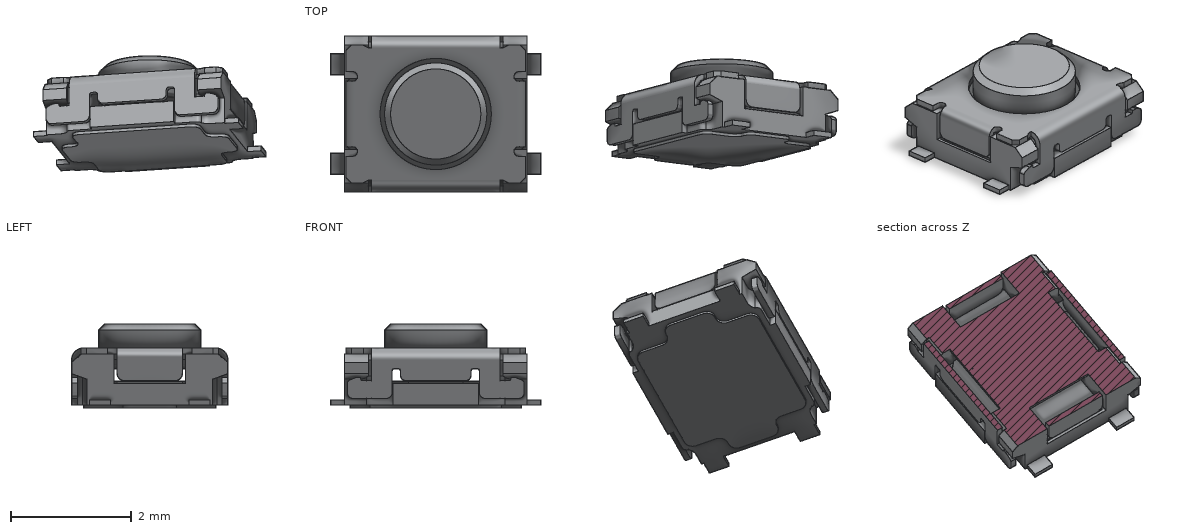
import cadquery as cq


BASE_BOTTOM = 0.05
FLOOR_TOP = 0.41
BASE_TOP = 0.9
SHEET = 0.1
COVER_TOP = BASE_TOP + SHEET
FLAP_BOTTOM = 0.455
BUTTON_TOP = 1.4

BASE_HALF_X = 1.52
BODY_HALF_Y = 1.3
CORE_HALF_Y = BODY_HALF_Y - SHEET
CORE_CHAMFER = 0.1
CORNER_HALF_Y = 1.046
CORNER_CURVE_START_X = 1.31
CORNER_CURVE_MID_X = 1.15
CORNER_CURVE_MID_Y = 1.12
CORNER_CONCAVE_RADIUS = 0.2
CORNER_CURVE_END_X = 1.07
CORNER_CONVEX_RADIUS = CORNER_CURVE_MID_X - CORNER_CURVE_END_X
CORNER_TOP = 0.53
WING_INNER_X = 1.12
WING_UNDERSIDE_INNER_Z = 0.48
WING_UNDERSIDE_OUTER_Z = 0.572
WING_SIDE_TOP_Z = 0.76
STEP_HALF_X = 0.712
CHANNEL_HALF_X = 0.725
CHANNEL_HALF_Y = 0.593

CONTACT_HEIGHT = 0.04
CONTACT_FLAT_X = 0.45
CONTACT_FLAT_Y = 0.545
CONTACT_END_X = 1.47

COVER_HALF_X = 1.495
PLATE_HALF_Y = 1.145
PLATE_CHAMFER = 0.09
BUTTON_HOLE_DIAMETER = 1.85
LONG_BEND_RADIUS = 0.2
LONG_BAND_HALF_X = 1.07
LONG_RELIEF_HALF_X = 1.205
LONG_RELIEF_ARC_X = 1.17
LONG_RELIEF_ARC_Y = 1.125
SHORT_BEND_RADIUS = 0.15
SHORT_BAND_HALF_Y = 0.545
SHORT_FLAP_FILLET = 0.12
SLOT_OUTER_Y = 0.704
SLOT_END_X = 1.303

LEG_BOTTOM = 0.16
LEG_OUTER_X = 1.47
LEG_TOE_FILLET = 0.093
LEG_SHOULDER_X = 1.425
LEG_SHOULDER_Z = 0.47
LEG_SHOULDER_RADIUS = 0.08
LEG_SIDE_TOP = 0.42
LEG_HEEL_FILLET = 0.1
HOOK_INNER_X = 1.235
HOOK_RISE_X = 1.255
HOOK_CREST_X = 1.335
HOOK_TOP = 0.505
TAB_HALF_X = 0.5875
TAB_FILLET = 0.09
WINDOW_TOP = 0.655
WINDOW_FILLET = 0.045

BUTTON_DIAMETER = 1.7
BUTTON_CHAMFER = 0.1
PLUNGER_DIAMETER = 1.85
PLUNGER_FILLET = 0.08
PLUNGER_BOTTOM = 0.65
FLANGE_HALF_WIDTH = 1.0
FLANGE_BOTTOM = 0.81

TERMINAL_END_X = 1.75
TERMINAL_INNER_Y = 0.65
TERMINAL_OUTER_Y = 1.005
TERMINAL_THICKNESS = 0.085

PAD_END_X = 1.425
PAD_SHOULDER_X = 1.09
PAD_HALF_Y = 1.1
PAD_LOBE_HALF_Y = 0.296
PAD_RADIUS = 0.15


def block(x0, x1, y0, y1, z0, z1):
    """Box between the given limits on each axis."""
    return cq.Workplane("XY").box(x1 - x0, y1 - y0, z1 - z0, centered=False).translate((x0, y0, z0))


def disc(diameter, z0, z1):
    """Cylinder on the button axis."""
    return cq.Workplane("XY").workplane(offset=z0).circle(diameter / 2).extrude(z1 - z0)


def four_corners(shape):
    """The shape at +X +Y together with its mirror copies in the other three corners."""
    pair = shape.union(shape.mirror("YZ"))
    return pair.union(pair.mirror("XZ"))


def make_core():
    """Upper middle of the base, with long top edges bevelled to clear the cover bends."""
    core = block(-WING_INNER_X, WING_INNER_X, -CORE_HALF_Y, CORE_HALF_Y, CORNER_TOP, BASE_TOP)
    return core.faces(">Z").edges("|X").chamfer(CORE_CHAMFER)


def make_base_ends():
    """Narrow ends of the base below the wings, blended into the core by S-shaped curves."""
    corner = (
        cq.Workplane("XY")
        .workplane(offset=BASE_BOTTOM)
        .lineTo(BASE_HALF_X, 0)
        .lineTo(BASE_HALF_X, CORNER_HALF_Y)
        .lineTo(CORNER_CURVE_START_X, CORNER_HALF_Y)
        .radiusArc((CORNER_CURVE_MID_X, CORNER_CURVE_MID_Y), CORNER_CONCAVE_RADIUS)
        .radiusArc((CORNER_CURVE_END_X, CORE_HALF_Y), -CORNER_CONVEX_RADIUS)
        .lineTo(0, CORE_HALF_Y)
        .close()
        .extrude(CORNER_TOP - BASE_BOTTOM)
    )
    return four_corners(corner)


def make_wings():
    """Upper ends of the base, reaching full depth with bevelled tops and sloping undersides."""
    wing = (
        cq.Workplane("YZ")
        .workplane(offset=WING_INNER_X)
        .moveTo(0, WING_UNDERSIDE_INNER_Z)
        .lineTo(CORNER_HALF_Y, WING_UNDERSIDE_INNER_Z)
        .lineTo(BODY_HALF_Y, WING_UNDERSIDE_OUTER_Z)
        .lineTo(BODY_HALF_Y, WING_SIDE_TOP_Z)
        .lineTo(PLATE_HALF_Y, BASE_TOP)
        .lineTo(0, BASE_TOP)
        .close()
        .extrude(BASE_HALF_X - WING_INNER_X)
    )
    return four_corners(wing)


def make_base():
    """Moulded base with a cross-shaped cavity open on all four sides."""
    base = make_core().union(make_base_ends()).union(make_wings())
    for half_x, half_y in ((CHANNEL_HALF_X, BODY_HALF_Y), (BASE_HALF_X, CHANNEL_HALF_Y)):
        base = base.cut(block(-half_x, half_x, -half_y, half_y, FLOOR_TOP, BASE_TOP))
    step = block(-STEP_HALF_X, STEP_HALF_X, -BODY_HALF_Y, BODY_HALF_Y, BASE_BOTTOM, FLOOR_TOP)
    return base.union(step)


def make_contact():
    """Cross-shaped contact plate on the cavity floor, with chamfered ends."""
    top = FLOOR_TOP + CONTACT_HEIGHT
    arm_x = block(-CONTACT_END_X, CONTACT_END_X, -CHANNEL_HALF_Y, CHANNEL_HALF_Y, FLOOR_TOP, top)
    arm_x = arm_x.edges("|Z").chamfer(CHANNEL_HALF_Y - CONTACT_FLAT_Y)
    arm_y = block(-CHANNEL_HALF_X, CHANNEL_HALF_X, -CORE_HALF_Y, CORE_HALF_Y, FLOOR_TOP, top)
    arm_y = arm_y.edges("|Z").chamfer(CHANNEL_HALF_X - CONTACT_FLAT_X)
    return arm_x.union(arm_y)


def make_cover_plate():
    """Flat top of the cover with its corner reliefs and bend slots."""
    plate = block(-COVER_HALF_X, COVER_HALF_X, -PLATE_HALF_Y, PLATE_HALF_Y, BASE_TOP, COVER_TOP)
    plate = plate.edges("|Z").chamfer(PLATE_CHAMFER)

    bend_start_y = BODY_HALF_Y - LONG_BEND_RADIUS
    long_relief = (
        cq.Workplane("XY")
        .workplane(offset=BASE_TOP)
        .moveTo(0, bend_start_y)
        .lineTo(LONG_BAND_HALF_X, bend_start_y)
        .tangentArcPoint((LONG_RELIEF_ARC_X, LONG_RELIEF_ARC_Y), relative=False)
        .lineTo(LONG_RELIEF_HALF_X, PLATE_HALF_Y)
        .lineTo(0, PLATE_HALF_Y)
        .close()
        .extrude(SHEET)
    )

    bend_start_x = COVER_HALF_X - SHORT_BEND_RADIUS
    short_relief = block(
        bend_start_x, COVER_HALF_X, -SHORT_BAND_HALF_Y, SHORT_BAND_HALF_Y, BASE_TOP, COVER_TOP
    )

    slot_radius = (SLOT_OUTER_Y - SHORT_BAND_HALF_Y) / 2
    slot = (
        cq.Workplane("XY")
        .workplane(offset=BASE_TOP)
        .moveTo(BASE_HALF_X, SHORT_BAND_HALF_Y)
        .lineTo(SLOT_END_X + slot_radius, SHORT_BAND_HALF_Y)
        .threePointArc(
            (SLOT_END_X, SHORT_BAND_HALF_Y + slot_radius),
            (SLOT_END_X + slot_radius, SLOT_OUTER_Y),
        )
        .lineTo(BASE_HALF_X, SLOT_OUTER_Y)
        .close()
        .extrude(SHEET)
    )

    for cutter in (long_relief, short_relief, slot):
        plate = plate.cut(four_corners(cutter))
    return plate


def make_channel(plane, half_span, half_length, bottom, bend_radius):
    """Sheet channel, open downwards, with rounded bends along its two top edges."""
    height = COVER_TOP - bottom
    mid_height = bottom + height / 2
    outer = (
        cq.Workplane(plane)
        .center(0, mid_height)
        .rect(2 * half_span, height)
        .extrude(half_length, both=True)
        .faces(">Z")
        .edges("|X" if plane == "YZ" else "|Y")
        .fillet(bend_radius)
    )
    inner = (
        cq.Workplane(plane)
        .center(0, mid_height - SHEET)
        .rect(2 * (half_span - SHEET), height)
        .extrude(half_length, both=True)
        .faces(">Z")
        .edges("|X" if plane == "YZ" else "|Y")
        .fillet(bend_radius - SHEET)
    )
    return outer.cut(inner)


def make_long_wall_outline():
    """Prism along Y whose section is the outline of the long cover walls."""
    half = (
        cq.Workplane("XZ")
        .moveTo(0, COVER_TOP)
        .lineTo(LONG_BAND_HALF_X, COVER_TOP)
        .lineTo(LONG_BAND_HALF_X, FLAP_BOTTOM)
        .lineTo(HOOK_INNER_X, FLAP_BOTTOM)
        .lineTo(HOOK_RISE_X, HOOK_TOP)
        .lineTo(HOOK_CREST_X, HOOK_TOP)
        .lineTo(LEG_SHOULDER_X, LEG_SHOULDER_Z)
        .radiusArc((LEG_OUTER_X, LEG_SIDE_TOP), LEG_SHOULDER_RADIUS)
        .lineTo(LEG_OUTER_X, LEG_BOTTOM + LEG_TOE_FILLET)
        .radiusArc((LEG_OUTER_X - LEG_TOE_FILLET, LEG_BOTTOM), LEG_TOE_FILLET)
        .lineTo(CHANNEL_HALF_X + LEG_HEEL_FILLET, LEG_BOTTOM)
        .radiusArc((CHANNEL_HALF_X, LEG_BOTTOM + LEG_HEEL_FILLET), LEG_HEEL_FILLET)
        .lineTo(CHANNEL_HALF_X, WINDOW_TOP - WINDOW_FILLET)
        .radiusArc((CHANNEL_HALF_X - WINDOW_FILLET, WINDOW_TOP), -WINDOW_FILLET)
        .lineTo(TAB_HALF_X + WINDOW_FILLET, WINDOW_TOP)
        .radiusArc((TAB_HALF_X, WINDOW_TOP - WINDOW_FILLET), -WINDOW_FILLET)
        .lineTo(TAB_HALF_X, FLAP_BOTTOM + TAB_FILLET)
        .radiusArc((TAB_HALF_X - TAB_FILLET, FLAP_BOTTOM), TAB_FILLET)
        .lineTo(0, FLAP_BOTTOM)
        .close()
        .extrude(BODY_HALF_Y, both=True)
    )
    return half.union(half.mirror("YZ"))


def make_cover():
    """Cover with two legged walls along X and two plain flaps at the ends."""
    long_walls = make_channel("YZ", BODY_HALF_Y, LEG_OUTER_X, LEG_BOTTOM, LONG_BEND_RADIUS)
    long_walls = long_walls.intersect(make_long_wall_outline())
    flaps = make_channel("XZ", COVER_HALF_X, SHORT_BAND_HALF_Y, FLAP_BOTTOM, SHORT_BEND_RADIUS)
    flap_outline = block(
        -COVER_HALF_X, COVER_HALF_X, -SHORT_BAND_HALF_Y, SHORT_BAND_HALF_Y, FLAP_BOTTOM, COVER_TOP
    )
    flaps = flaps.intersect(flap_outline.faces("<Z").edges("|X").fillet(SHORT_FLAP_FILLET))
    cover = make_cover_plate().union(long_walls).union(flaps)
    return cover.cut(disc(BUTTON_HOLE_DIAMETER, BASE_TOP, COVER_TOP))


def make_button():
    """Round chamfered button with a plunger below and a square flange held in the base."""
    button = disc(BUTTON_DIAMETER, FLANGE_BOTTOM, BUTTON_TOP).faces(">Z").chamfer(BUTTON_CHAMFER)
    plunger = disc(PLUNGER_DIAMETER, PLUNGER_BOTTOM, FLANGE_BOTTOM).faces("<Z").edges().fillet(PLUNGER_FILLET)
    flange = block(
        -FLANGE_HALF_WIDTH, FLANGE_HALF_WIDTH, -FLANGE_HALF_WIDTH, FLANGE_HALF_WIDTH, FLANGE_BOTTOM, BASE_TOP
    )
    return button.union(plunger).union(flange)


def make_terminals():
    """Flat solder terminals at the four corners."""
    terminal = block(
        WING_INNER_X, TERMINAL_END_X, TERMINAL_INNER_Y, TERMINAL_OUTER_Y,
        BASE_BOTTOM, BASE_BOTTOM + TERMINAL_THICKNESS,
    )
    return four_corners(terminal)


def make_pad():
    """Shallow pad under the base with a rounded lobe at each end."""
    shoulder_half_y = PAD_LOBE_HALF_Y + PAD_RADIUS
    body = block(-PAD_SHOULDER_X, PAD_SHOULDER_X, -PAD_HALF_Y, PAD_HALF_Y, 0, BASE_BOTTOM)
    lobes = block(-PAD_END_X, PAD_END_X, -shoulder_half_y, shoulder_half_y, 0, BASE_BOTTOM)
    pad = body.edges("|Z").fillet(PAD_RADIUS).union(lobes.edges("|Z").fillet(PAD_RADIUS))
    for sign_x in (-1, 1):
        for sign_y in (-1, 1):
            root = (sign_x * PAD_SHOULDER_X, sign_y * shoulder_half_y, BASE_BOTTOM / 2)
            pad = pad.edges(cq.selectors.NearestToPointSelector(root)).fillet(PAD_RADIUS)
    return pad


result = make_base()
for component in (make_contact(), make_cover(), make_button(), make_terminals(), make_pad()):
    result = result.union(component)